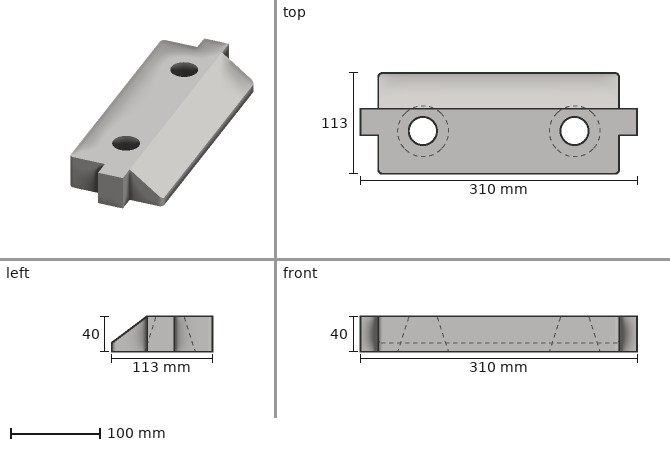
import cadquery as cq

overall_length = 310.0
body_length = 270.0
depth = 113.0
height = 40.0
corner_radius = 5.0

slope_depth = 40.0
rear_height = 10.0

lug_depth = 30.0
slope_start = depth - slope_depth

hole_top_diameter = 31.3
hole_bottom_diameter = 57.0
hole_spacing = 170.0
hole_from_front = 48.0


def make_body():
    """Block with rounded vertical corners and a sloped rear; front face at Y = 0."""
    block = (
        cq.Workplane("XY")
        .box(body_length, depth, height, centered=(True, False, False))
        .edges("|Z")
        .fillet(corner_radius)
    )
    slope_waste = (
        cq.Workplane("YZ")
        .moveTo(slope_start, height)
        .lineTo(depth, height)
        .lineTo(depth, rear_height)
        .close()
        .extrude(body_length / 2, both=True)
    )
    return block.cut(slope_waste)


def make_lugs():
    """Full-height bar whose ends stand out past the body as lugs."""
    return (
        cq.Workplane("XY")
        .box(overall_length, lug_depth, height, centered=(True, False, False))
        .translate((0, slope_start - lug_depth, 0))
    )


def make_holes():
    """Two vertical cones, symmetric about the middle of the length."""
    return (
        cq.Workplane("XY")
        .pushPoints([(side * hole_spacing / 2, hole_from_front) for side in (-1, 1)])
        .eachpoint(
            cq.Solid.makeCone(hole_bottom_diameter / 2, hole_top_diameter / 2, height)
        )
    )


result = make_body().union(make_lugs()).cut(make_holes())